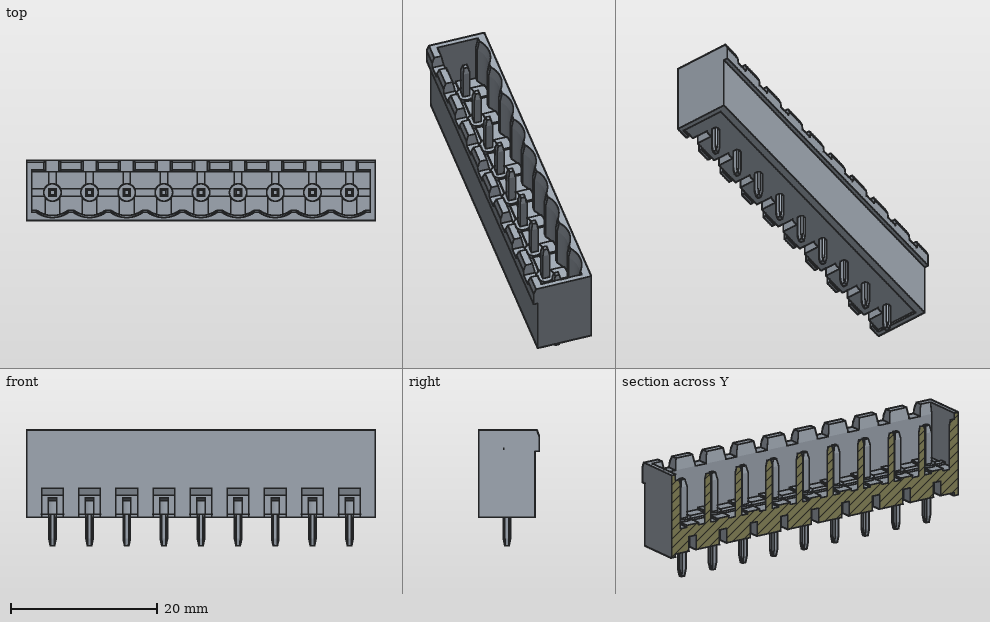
import cadquery as cq

LENGTH = 47.7
BODY_DEPTH = 7.75
BODY_HEIGHT = 12.0
END_WALL = 0.7

PIN_COUNT = 9
END_PIN_X = 3.55
PIN_PITCH = (LENGTH - 2 * END_PIN_X) / (PIN_COUNT - 1)
PIN_Y = 3.85
PIN_WIDTH = 1.0
PIN_FLAT = 0.52
PIN_TIP_WIDTH = 0.55
PIN_TIP_FLAT = 0.5
PIN_BOTTOM = -3.9
BOTTOM_TIP_HEIGHT = 1.0
PIN_TOP_BELOW_RIM = 1.9
TOP_TIP_HEIGHT = 1.0

LIP_OVERHANG = 0.55
LIP_HEIGHT = 2.95
LIP_CHAMFER_DEPTH = 0.35
LIP_CHAMFER_HEIGHT = 0.85

LEAD_IN = 0.3
LEAD_IN_HEIGHT = 1.6
NOTCH_FLOOR_WIDTH = 1.75

FLOOR_Z = 4.0
CAVITY_BACK_Y = 6.7
FRONT_WALL = 1.45
SCALLOP_DEPTH = 0.7
SCALLOP_WIDTH = 4.4

BOSS_DIAMETER = 2.4
BOSS_RISE = 0.55
RIB_RISE = 0.3
RIB_WIDTH = PIN_WIDTH
FRONT_RIB_WIDTH = 2 * RIB_WIDTH

WINDOW_WIDTH = 2.95
WINDOW_DEPTH = 0.45
WINDOW_TOP = 4.0
WINDOW_INNER_TOP = 3.0
SLOT_WIDTH = 1.15
SLOT_TOP = 2.65
SLOT_INNER_TOP = 2.3
UNDERSIDE_RECESS = 0.45

CAVITY_LENGTH = LENGTH - 2 * END_WALL
LEAD_IN_Z = BODY_HEIGHT - LEAD_IN_HEIGHT
BACK_Y = BODY_DEPTH + LIP_OVERHANG
BOSS_FRONT_Y = PIN_Y - BOSS_DIAMETER / 2
PIN_XS = [(i - (PIN_COUNT - 1) / 2) * PIN_PITCH for i in range(PIN_COUNT)]


def box(width, y_start, y_end, z_start, z_end):
    """Box centred on x = 0 and spanning the given y and z ranges."""
    front_foot = cq.Workplane("XY", origin=(0, y_start, z_start))
    return front_foot.box(width, y_end - y_start, z_end - z_start, centered=(True, False, False))


def side_prism(points, width):
    """Prism with a (y, z) outline, centred on x = 0."""
    return cq.Workplane("YZ").polyline(points).close().extrude(width / 2, both=True)


def at_each_pin(shape):
    """Copies of a shape, one for each pin."""
    copies = [shape.val().translate(cq.Vector(x, 0, 0)) for x in PIN_XS]
    return cq.Workplane(cq.Compound.makeCompound(copies))


def body():
    """Solid block with the chamfered lip overhanging its back."""
    return side_prism(
        [
            (0, 0),
            (BODY_DEPTH, 0),
            (BODY_DEPTH, BODY_HEIGHT - LIP_HEIGHT),
            (BACK_Y, BODY_HEIGHT - LIP_HEIGHT),
            (BACK_Y, BODY_HEIGHT - LIP_CHAMFER_HEIGHT),
            (BACK_Y - LIP_CHAMFER_DEPTH, BODY_HEIGHT),
            (0, BODY_HEIGHT),
        ],
        LENGTH,
    )


def cavity_outline(plane, growth):
    """Cavity outline with a scalloped front, its front and back moved outward by growth."""
    half_length = CAVITY_LENGTH / 2
    front_y = FRONT_WALL - growth
    back_y = CAVITY_BACK_Y + growth
    outline = plane.moveTo(-half_length, back_y).lineTo(-half_length, front_y)
    for x in PIN_XS:
        outline = outline.lineTo(x - SCALLOP_WIDTH / 2, front_y)
        outline = outline.threePointArc((x, front_y - SCALLOP_DEPTH), (x + SCALLOP_WIDTH / 2, front_y))
    return outline.lineTo(half_length, front_y).lineTo(half_length, back_y).close()


def cavity():
    """Open-topped cavity with a straight shaft and a sloped lead-in at its mouth."""
    floor_plane = cq.Workplane("XY").workplane(offset=FLOOR_Z)
    shaft = cavity_outline(floor_plane, 0).extrude(LEAD_IN_Z - FLOOR_Z)
    mouth = cavity_outline(cq.Workplane("XY").workplane(offset=LEAD_IN_Z), 0)
    mouth = cavity_outline(mouth.workplane(offset=LEAD_IN_HEIGHT), LEAD_IN).loft(ruled=True)
    return shaft.union(mouth)


def lip_notch():
    """Trapezoidal gap through the top of the back wall."""
    half_floor = NOTCH_FLOOR_WIDTH / 2
    half_top = half_floor + LEAD_IN
    return (
        cq.Workplane("XZ", origin=(0, CAVITY_BACK_Y, 0))
        .polyline(
            [
                (-half_floor, LEAD_IN_Z),
                (half_floor, LEAD_IN_Z),
                (half_top, BODY_HEIGHT),
                (-half_top, BODY_HEIGHT),
            ]
        )
        .close()
        .extrude(CAVITY_BACK_Y - BACK_Y)
    )


def solder_window():
    """Front recess with a sloping top, and the narrower slot running back to the pin boss."""
    recess = side_prism(
        [
            (0, 0),
            (0, WINDOW_TOP),
            (WINDOW_DEPTH, WINDOW_INNER_TOP),
            (WINDOW_DEPTH, 0),
        ],
        WINDOW_WIDTH,
    )
    slot = side_prism(
        [
            (WINDOW_DEPTH, 0),
            (WINDOW_DEPTH, SLOT_TOP),
            (BOSS_FRONT_Y, SLOT_INNER_TOP),
            (PIN_Y, SLOT_INNER_TOP),
            (PIN_Y, 0),
        ],
        SLOT_WIDTH,
    )
    boss = cq.Workplane("XY").center(0, PIN_Y).circle(BOSS_DIAMETER / 2).extrude(FLOOR_Z)
    return recess.union(slot.cut(boss))


def floor_ribs():
    """Ribs on the cavity floor: one along the row and one across it at each pin."""
    rib_top = FLOOR_Z + RIB_RISE
    long_rib = box(CAVITY_LENGTH, PIN_Y - RIB_WIDTH / 2, PIN_Y + RIB_WIDTH / 2, FLOOR_Z, rib_top)
    back_rib = box(RIB_WIDTH, PIN_Y, CAVITY_BACK_Y, FLOOR_Z, rib_top)
    front_rib = box(FRONT_RIB_WIDTH, WINDOW_DEPTH, PIN_Y, FLOOR_Z, rib_top)
    return long_rib.union(at_each_pin(back_rib.union(front_rib)))


def octagon(plane, width, flat):
    """Square of the given width with its corners cut to leave the given flats."""
    half = width / 2
    half_flat = flat / 2
    return plane.polyline(
        [
            (half_flat, -half),
            (half, -half_flat),
            (half, half_flat),
            (half_flat, half),
            (-half_flat, half),
            (-half, half_flat),
            (-half, -half_flat),
            (-half_flat, -half),
        ]
    ).close()


def pin():
    """Octagonal solder tail and square contact, both with tapered tips, on a round boss."""
    contact_top = BODY_HEIGHT - PIN_TOP_BELOW_RIM
    shank_bottom = PIN_BOTTOM + BOTTOM_TIP_HEIGHT

    def level(z):
        return cq.Workplane("XY", origin=(0, PIN_Y, z))

    bottom_tip = octagon(level(PIN_BOTTOM), PIN_TIP_WIDTH, PIN_TIP_FLAT).workplane(offset=BOTTOM_TIP_HEIGHT)
    bottom_tip = octagon(bottom_tip, PIN_WIDTH, PIN_FLAT).loft(ruled=True)
    tail = octagon(level(shank_bottom), PIN_WIDTH, PIN_FLAT).extrude(FLOOR_Z - shank_bottom)
    contact = level(FLOOR_Z).rect(PIN_WIDTH, PIN_WIDTH).extrude(contact_top - TOP_TIP_HEIGHT - FLOOR_Z)
    top_tip = level(contact_top - TOP_TIP_HEIGHT).rect(PIN_WIDTH, PIN_WIDTH)
    top_tip = top_tip.workplane(offset=TOP_TIP_HEIGHT).rect(PIN_TIP_WIDTH, PIN_TIP_WIDTH).loft(ruled=True)
    boss = level(FLOOR_Z).circle(BOSS_DIAMETER / 2).extrude(BOSS_RISE)
    return tail.union(bottom_tip).union(contact).union(top_tip).union(boss)


housing = body().cut(cavity()).union(floor_ribs())
housing = housing.cut(at_each_pin(lip_notch())).cut(at_each_pin(solder_window()))
housing = housing.cut(box(CAVITY_LENGTH, WINDOW_DEPTH, CAVITY_BACK_Y, 0, UNDERSIDE_RECESS))
result = housing.union(at_each_pin(pin())).solids()